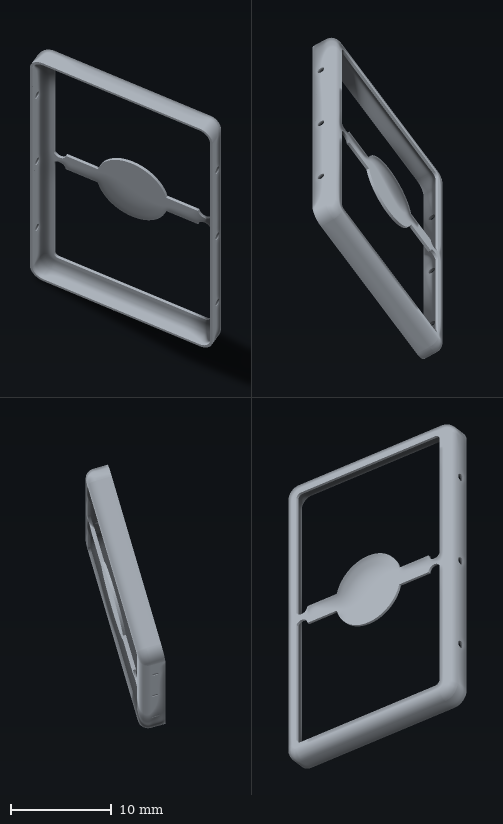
import cadquery as cq

width = 20.7
depth = 2.5
height = 32.9

wall = 0.3
corner_radius = 1.5
back_edge_radius = 1.0

window_margin = 1.5
window_corner_radius = 0.5
window_width = width - 2 * window_margin
window_height = height - 2 * window_margin

disc_diameter = 8.0
strap_width = 2.0
neck_width = 0.7
notch_radius = 0.72
notch_inset = 0.63

side_hole_diameter = 0.8
side_hole_pitch = 10.0
side_hole_from_front = 1.0

front_y = -depth / 2
back_y = depth / 2


def front_plane(y):
    """Sketch plane parallel to XZ whose extrusions run toward +Y."""
    return cq.Workplane(cq.Plane(origin=(0, y, 0), xDir=(-1, 0, 0), normal=(0, 1, 0)))


def rounded_block(inset):
    """Outer body moved inward by inset on the sides and back, with rounded edges."""
    return (
        front_plane(front_y)
        .rect(width - 2 * inset, height - 2 * inset)
        .extrude(depth - inset)
        .edges("|Y")
        .fillet(corner_radius - inset)
        .faces(">Y")
        .edges()
        .fillet(back_edge_radius - inset)
    )


def window_cutter():
    return (
        front_plane(back_y - wall)
        .rect(window_width, window_height)
        .extrude(wall)
        .edges("|Y")
        .fillet(window_corner_radius)
    )


def disc_and_strap():
    """Disc on a strap that narrows to a neck at each end."""
    plane = front_plane(back_y - wall)
    strap = plane.rect(window_width, strap_width).extrude(wall)
    notch_z = neck_width / 2 + notch_radius
    notch_x = window_width / 2 - notch_inset
    notch_centres = [(sx * notch_x, sz * notch_z) for sx in (-1, 1) for sz in (-1, 1)]
    notches = plane.pushPoints(notch_centres).circle(notch_radius).extrude(wall)
    disc = plane.circle(disc_diameter / 2).extrude(wall)
    return strap.cut(notches).union(disc)


def side_holes():
    hole_y = front_y + side_hole_from_front
    centres = [(hole_y, i * side_hole_pitch) for i in (-1, 0, 1)]
    return (
        cq.Workplane("YZ")
        .pushPoints(centres)
        .circle(side_hole_diameter / 2)
        .extrude(width / 2, both=True)
    )


shell = rounded_block(0).cut(rounded_block(wall))
window = window_cutter().cut(disc_and_strap())
result = shell.cut(window).cut(side_holes())